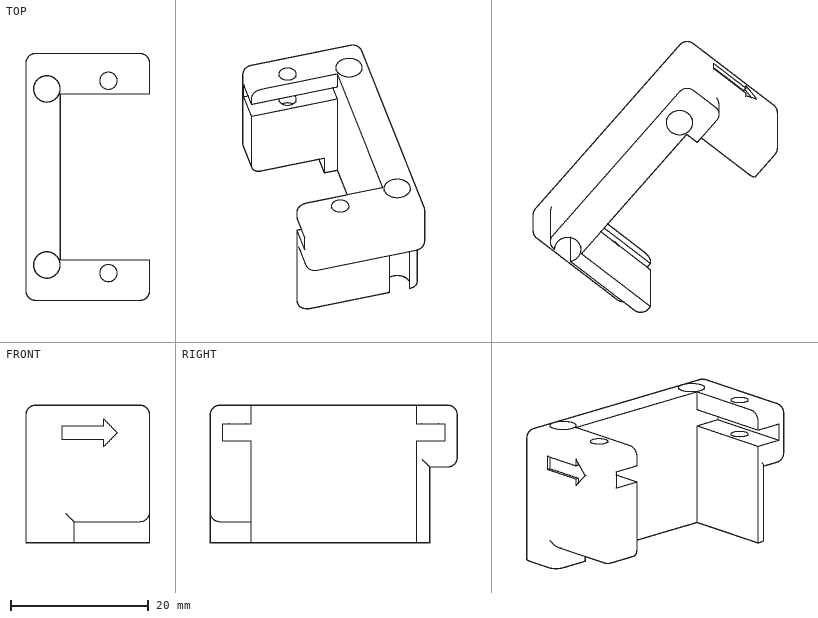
import cadquery as cq

width = 18.0
length = 35.9
height = 20.0
edge_radius = 1.45
margin = 0.05

wall = 5.03
arm = 5.92

step_depth = 4.0
step_height = 11.0

notch_start = 7.0
notch_height = 3.05

slot_floor = 14.8
slot_height = 2.48
slot_skin = 1.8

through_diameter = 3.8
through_x = 3.05
through_inset = 5.17
screw_diameter = 2.5
screw_x = 12.0
screw_inset = 4.0
screw_below_slot = 2.0

arrow_tail = 5.25
arrow_neck = 11.3
arrow_tip = 13.3
arrow_z = 15.98
shaft_half = 1.0
head_half = 2.0
arrow_depth = 0.5


def box(x_start, x_end, y_start, y_end, z_start, z_end):
    """Box between the given limits on each axis."""
    size = (x_end - x_start, y_end - y_start, z_end - z_start)
    return cq.Workplane("XY").box(*size, centered=False).translate((x_start, y_start, z_start))


def make_body():
    """Stepped U-shaped body with its outer edges rounded."""
    body = box(0, width, 0, length, 0, height)
    body = body.cut(box(wall, width, arm, length - arm, 0, height))
    body = body.cut(box(0, width, length - step_depth, length, 0, step_height))
    body = body.cut(box(notch_start, width, 0, arm, 0, notch_height))

    outer = body.faces("<X or >X or <Y or >Y or >Z").edges()
    relief = body.edges(
        cq.selectors.BoxSelector(
            (-margin, length - step_depth - margin, margin),
            (width + margin, length - step_depth + margin, step_height - margin),
        )
    )
    base = body.faces("<Z").edges()
    cavity = body.edges(
        cq.selectors.BoxSelector(
            (wall - margin, arm - margin, -margin),
            (width + margin, length - arm + margin, height + margin),
        )
    )
    kept_sharp = base.vals() + cavity.vals()
    rounded = []
    for edge in outer.vals() + relief.vals():
        is_sharp = any(edge.isSame(other) for other in kept_sharp)
        if not is_sharp:
            rounded.append(edge)
    return body.newObject(rounded).fillet(edge_radius)


def make_slots():
    """Horizontal slots behind the two arms' outer sides."""
    slot_top = slot_floor + slot_height
    lower = box(wall, width, slot_skin, arm, slot_floor, slot_top)
    upper = box(wall, width, length - arm, length - slot_skin, slot_floor, slot_top)
    return lower.union(upper)


def hole_pair(diameter, x, inset, bottom):
    """Two vertical holes open at the top, one in each arm."""
    return (
        cq.Workplane("XY", origin=(0, 0, bottom))
        .pushPoints([(x, inset), (x, length - inset)])
        .circle(diameter / 2)
        .extrude(height - bottom)
    )


def make_arrow():
    """Arrow pointing toward +X."""
    points = [
        (arrow_tail, arrow_z - shaft_half),
        (arrow_neck, arrow_z - shaft_half),
        (arrow_neck, arrow_z - head_half),
        (arrow_tip, arrow_z),
        (arrow_neck, arrow_z + head_half),
        (arrow_neck, arrow_z + shaft_half),
        (arrow_tail, arrow_z + shaft_half),
    ]
    return cq.Workplane("XZ").polyline(points).close().extrude(-arrow_depth)


result = (
    make_body()
    .cut(make_slots())
    .cut(hole_pair(through_diameter, through_x, through_inset, 0))
    .cut(hole_pair(screw_diameter, screw_x, screw_inset, slot_floor - screw_below_slot))
    .cut(make_arrow())
)